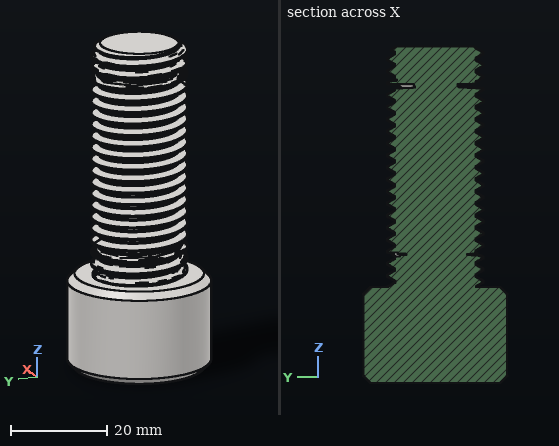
import cadquery as cq
import math

total_length = 70.0

head_length = 20.0
head_radius = 15.015
head_chamfer = 1.55

thread_radius = 10.0
tip_radius = 8.2
tip_cone_height = 1.25
shank_length = total_length - head_length
seam_angle = 37

thread_turns = 20
pitch = shank_length / thread_turns
crest_width = pitch / 8
root_width = pitch / 8
flank_slope = math.tan(math.radians(30))
thread_depth = (pitch - crest_width - root_width) / 2 / flank_slope
root_radius = thread_radius - thread_depth
first_groove_height = 0.18 * pitch

cutter_overhang = 0.2
runout_turns = 2


def make_head():
    head = cq.Workplane("XY").circle(head_radius).extrude(head_length)
    return head.edges().chamfer(head_chamfer)


def make_blank_shank():
    """Smooth shank with a conical tip."""
    shank = cq.Workplane("XY").circle(thread_radius).extrude(shank_length)
    shank = shank.faces(">Z").edges().chamfer(tip_cone_height, thread_radius - tip_radius)
    return shank.rotate((0, 0, 0), (0, 0, 1), seam_angle).translate((0, 0, head_length))


def make_groove():
    """Helical groove bounded by ruled faces between the helices of its four corners."""
    start_height = head_length + first_groove_height - runout_turns * pitch
    helix_height = (thread_turns + 2 * runout_turns) * pitch
    mouth_radius = thread_radius + cutter_overhang
    half_root = root_width / 2
    half_mouth = half_root + (mouth_radius - root_radius) * flank_slope
    corners = [
        (root_radius, -half_root),
        (mouth_radius, -half_mouth),
        (mouth_radius, half_mouth),
        (root_radius, half_root),
    ]

    helices = []
    for radius, offset in corners:
        base = cq.Vector(0, 0, start_height + offset)
        helices.append(cq.Wire.makeHelix(pitch, helix_height, radius, center=base).Edges()[0])

    faces = []
    for helix, next_helix in zip(helices, helices[1:] + helices[:1]):
        faces.append(cq.Face.makeRuledSurface(helix, next_helix))
    for end in (0, 1):
        outline = cq.Wire.makePolygon([helix.positionAt(end) for helix in helices], close=True)
        faces.append(cq.Face.makeFromWires(outline))
    return cq.Workplane(obj=cq.Solid.makeSolid(cq.Shell.makeShell(faces)))


threaded_shank = make_blank_shank().cut(make_groove())
result = make_head().union(threaded_shank)